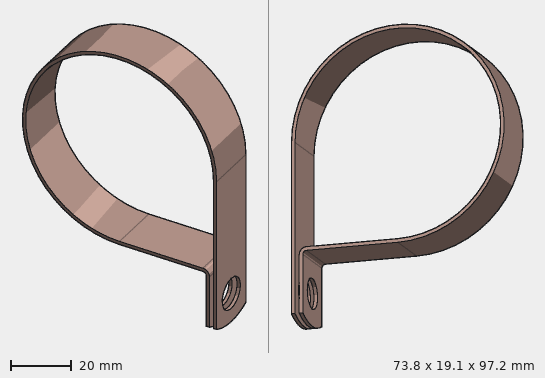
import cadquery as cq
import math

height = 97.2
band_radius = 36.9
thickness = 1.3
width = 19.1
tab_gap = 1.5
bend_radius = 2.5
short_tab_hole_diameter = 10.3
long_tab_hole_diameter = 11.7
hole_above_end = 11.1
end_corner_rise = 2.2

inner_radius = band_radius - thickness
bottom = band_radius - height
tab_outer_x = inner_radius - tab_gap
tab_inner_x = tab_outer_x - thickness
bend_inner_radius = bend_radius - thickness
bend_x = tab_outer_x - bend_radius
bend_z = -inner_radius - bend_radius
half_width = width / 2


def arc_middle(center_x, center_z, radius):
    """Point at 45 degrees on an arc, toward +X and +Z."""
    offset = radius * math.cos(math.pi / 4)
    return (center_x + offset, center_z + offset)


def make_strip():
    """Constant-thickness strip: long tab, loop, flat run, bend and short tab."""
    loop_middle = math.cos(math.pi / 4)
    return (
        cq.Workplane("XZ")
        .moveTo(band_radius, bottom)
        .lineTo(band_radius, 0)
        .threePointArc((-band_radius * loop_middle, band_radius * loop_middle), (0, -band_radius))
        .lineTo(bend_x, -band_radius)
        .threePointArc(arc_middle(bend_x, bend_z, bend_inner_radius), (tab_inner_x, bend_z))
        .lineTo(tab_inner_x, bottom)
        .lineTo(tab_outer_x, bottom)
        .lineTo(tab_outer_x, bend_z)
        .threePointArc(arc_middle(bend_x, bend_z, bend_radius), (bend_x, -inner_radius))
        .lineTo(0, -inner_radius)
        .threePointArc((-inner_radius * loop_middle, inner_radius * loop_middle), (inner_radius, 0))
        .lineTo(inner_radius, bottom)
        .close()
        .extrude(half_width, both=True)
    )


def make_side_outline():
    """Solid across X whose lower edge is the rounded tab end."""
    corner_z = bottom + end_corner_rise
    return (
        cq.Workplane("YZ")
        .moveTo(-half_width, band_radius)
        .lineTo(-half_width, corner_z)
        .threePointArc((0, bottom), (half_width, corner_z))
        .lineTo(half_width, band_radius)
        .close()
        .extrude(band_radius, both=True)
    )


def make_bolt_hole(start_x, diameter):
    """Cylinder along X through the tab whose inner face is at start_x."""
    return (
        cq.Workplane("YZ", origin=(start_x, 0, bottom + hole_above_end))
        .circle(diameter / 2)
        .extrude(thickness)
    )


result = (
    make_strip()
    .intersect(make_side_outline())
    .cut(make_bolt_hole(tab_inner_x, short_tab_hole_diameter))
    .cut(make_bolt_hole(inner_radius, long_tab_hole_diameter))
)